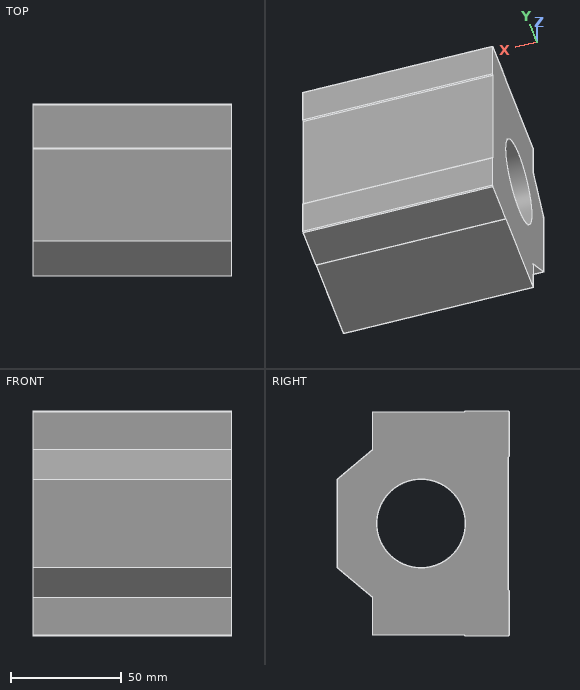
import cadquery as cq
import math

length = 90.0
height = 102.0
bore_diameter = 40.0
back_y = 40.0
front_y = -38.0

pad_depth = 20.0
pad_step = 0.5
edge_chamfer = 0.5

relief_width = 60.0
relief_depth = 0.5

nose_projection = 16.0
nose_flat_width = 40.0
nose_flank_angle = 40.0


def mirrored_outline(upper_points):
    """Close a (Y, Z) half outline with its reflection across Z = 0."""
    lower_points = [(y, -z) for y, z in reversed(upper_points)]
    return upper_points + lower_points


def make_body():
    """Extrude the stepped side profile along X."""
    half_height = height / 2
    pad_front_y = back_y - pad_depth
    shoulder_y = front_y + nose_projection
    nose_half_flat = nose_flat_width / 2
    nose_rise = nose_projection * math.tan(math.radians(nose_flank_angle))
    relief_half_width = relief_width / 2
    relief_y = back_y - relief_depth
    upper_points = [
        (front_y, nose_half_flat),
        (shoulder_y, nose_half_flat + nose_rise),
        (shoulder_y, half_height - pad_step),
        (pad_front_y - pad_step, half_height - pad_step),
        (pad_front_y, half_height),
        (back_y - edge_chamfer, half_height),
        (back_y, half_height - edge_chamfer),
        (back_y, relief_half_width + relief_depth),
        (relief_y, relief_half_width),
    ]
    profile = cq.Workplane("YZ").polyline(mirrored_outline(upper_points)).close()
    return profile.extrude(length / 2, both=True)


def make_bore():
    """Round through-bore along X."""
    return cq.Workplane("YZ").circle(bore_diameter / 2).extrude(length / 2, both=True)


result = make_body().cut(make_bore())